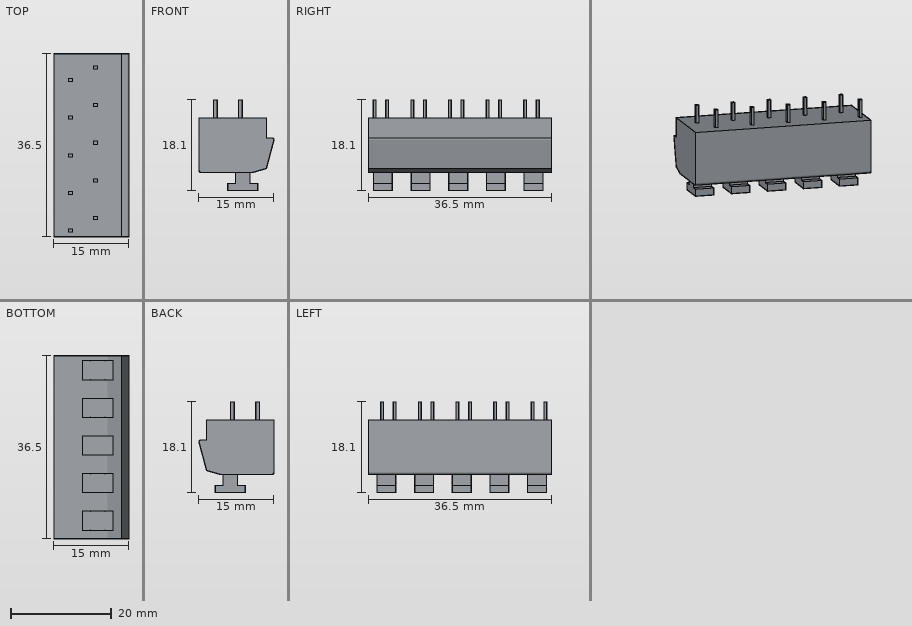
import cadquery as cq
import math

length = 36.5
top_width = 13.5
overall_width = 15.0
housing_height = 10.9
back_edge_radius = 0.5

ledge_depth = 4.0
nose_angle = 15.0
nose_radius = 0.35
toe_height = 0.8
flat_bottom_width = 10.7

pole_count = 5
pole_pitch = 7.5

pin_width = 0.8
pin_thickness = 0.6
pin_length = 3.6
back_row_x = 3.3
row_spacing = 5.0
front_row_end_gap = 2.75
row_stagger = 2.5

button_x = 8.75
button_length = 3.8
button_end_gap = 3.6
stem_width = 2.95
stem_height = 2.15
head_width = 6.0
head_height = 1.45


def pole_positions(end_gap):
    """Y positions of one feature per pole, counted from the +Y end."""
    return [length / 2 - end_gap - i * pole_pitch for i in range(pole_count)]


def standing_block(x, y, base_z, size_x, size_y, height):
    """Box centred on (x, y) that rises from base_z."""
    return (
        cq.Workplane("XY")
        .box(size_x, size_y, height, centered=(True, True, False))
        .translate((x, y, base_z))
    )


def make_housing():
    ledge_z = housing_height - ledge_depth
    tip_centre_x = overall_width - nose_radius
    tip_centre_z = ledge_z - nose_radius
    mid_turn = math.radians((90 - nose_angle) / 2)
    lean = math.radians(nose_angle)
    tangent_x = tip_centre_x + nose_radius * math.cos(lean)
    tangent_z = tip_centre_z - nose_radius * math.sin(lean)
    toe_x = tangent_x - (tangent_z - toe_height) * math.tan(lean)
    arc_middle = (
        tip_centre_x + nose_radius * math.cos(mid_turn),
        tip_centre_z + nose_radius * math.sin(mid_turn),
    )
    profile = (
        cq.Workplane("XZ")
        .moveTo(0, 0)
        .lineTo(flat_bottom_width, 0)
        .lineTo(toe_x, toe_height)
        .lineTo(tangent_x, tangent_z)
        .threePointArc(arc_middle, (tip_centre_x, ledge_z))
        .lineTo(top_width, ledge_z)
        .lineTo(top_width, housing_height)
        .lineTo(0, housing_height)
        .close()
    )
    housing = profile.extrude(length / 2, both=True)
    return housing.faces("<X").edges("<Z").fillet(back_edge_radius)


def add_pins(body):
    front_row_x = back_row_x + row_spacing
    back_row_end_gap = front_row_end_gap + row_stagger
    rows = ((front_row_x, front_row_end_gap), (back_row_x, back_row_end_gap))
    for row_x, end_gap in rows:
        for y in pole_positions(end_gap):
            pin = standing_block(row_x, y, housing_height, pin_width, pin_thickness, pin_length)
            body = body.union(pin)
    return body


def add_buttons(body):
    head_z = -stem_height - head_height
    for y in pole_positions(button_end_gap):
        stem = standing_block(button_x, y, -stem_height, stem_width, button_length, stem_height)
        head = standing_block(button_x, y, head_z, head_width, button_length, head_height)
        body = body.union(stem.union(head))
    return body


result = add_buttons(add_pins(make_housing()))